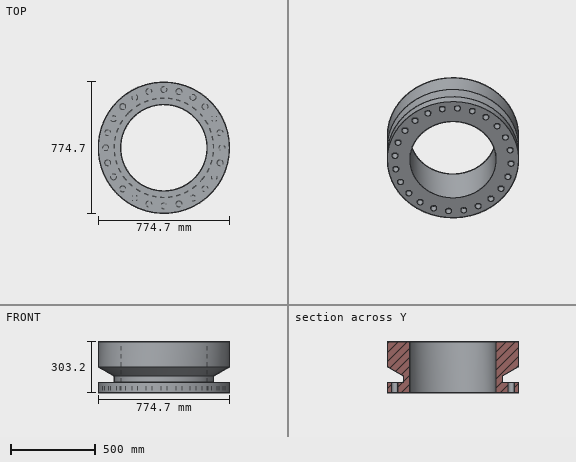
import cadquery as cq
import math

outer_diameter = 774.7
bore_diameter = 508.0
total_height = 303.21

flange_thickness = 61.9
raised_face_height = 1.6
raised_face_diameter = 584.2

neck_diameter = 587.4
neck_top_height = 100.0
cone_angle = 30.0

bolt_count = 24
bolt_circle_diameter = 685.8
bolt_hole_diameter = 34.9


def disc(diameter, bottom, height):
    """Solid cylinder on the Z axis, standing on the given height."""
    return cq.Workplane("XY").workplane(offset=bottom).circle(diameter / 2).extrude(height)


def flange():
    """Bottom flange with a ring of through bolt holes."""
    bolt_holes = (
        cq.Workplane("XY")
        .polarArray(bolt_circle_diameter / 2, 0, 360, bolt_count)
        .circle(bolt_hole_diameter / 2)
        .extrude(flange_thickness)
    )
    return disc(outer_diameter, 0, flange_thickness).cut(bolt_holes)


def raised_face():
    """Thin ring on top of the flange, just narrower than the neck."""
    return disc(raised_face_diameter, flange_thickness, raised_face_height)


def neck_and_collar():
    """Straight neck that flares through a cone into the heavy upper collar."""
    neck_bottom_height = flange_thickness + raised_face_height
    neck_radius = neck_diameter / 2
    collar_radius = outer_diameter / 2
    cone_height = (collar_radius - neck_radius) * math.tan(math.radians(cone_angle))
    collar_bottom_height = neck_top_height + cone_height
    half_section = (
        cq.Workplane("XZ")
        .moveTo(0, neck_bottom_height)
        .lineTo(neck_radius, neck_bottom_height)
        .lineTo(neck_radius, neck_top_height)
        .lineTo(collar_radius, collar_bottom_height)
        .lineTo(collar_radius, total_height)
        .lineTo(0, total_height)
        .close()
    )
    return half_section.revolve(360, (0, 0, 0), (0, 1, 0))


bore = disc(bore_diameter, 0, total_height)
result = flange().union(raised_face()).union(neck_and_collar()).cut(bore)